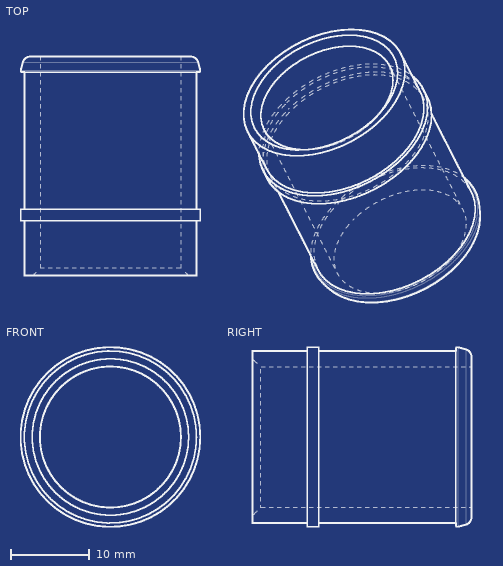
import cadquery as cq
import math

length = 28.0
body_radius = 11.0
bore_radius = 9.0
bore_chamfer = 1.0

rim_radius = 11.5
collar_start = 7.0
collar_width = 1.5

bead_length = 2.0
bead_start = length - bead_length
bead_taper = math.radians(15.0)
crest_fillet = 0.2
tip_fillet = 1.0


def make_tube():
    return cq.Workplane("XZ").circle(body_radius).extrude(-bead_start)


def make_collar():
    return (
        cq.Workplane("XZ", origin=(0, collar_start, 0))
        .circle(rim_radius)
        .extrude(-collar_width)
    )


def arc_point(center, radius, angle):
    """Point on an arc; the angle is measured from the radial (+X) direction toward +Y."""
    return (
        center[0] + radius * math.cos(angle),
        center[1] + radius * math.sin(angle),
    )


def make_bead():
    """Revolve the bead profile, drawn as (radius, Y), about the tube axis."""
    crest_center = (rim_radius - crest_fillet, bead_start + crest_fillet)
    crest_end = arc_point(crest_center, crest_fillet, bead_taper)

    tip_center_y = length - tip_fillet
    flank_end_y = tip_center_y + tip_fillet * math.sin(bead_taper)
    flank_end_radius = crest_end[0] - (flank_end_y - crest_end[1]) * math.tan(bead_taper)
    tip_center = (flank_end_radius - tip_fillet * math.cos(bead_taper), tip_center_y)

    crest_middle = (bead_taper - math.pi / 2) / 2
    tip_middle = (bead_taper + math.pi / 2) / 2
    profile = (
        cq.Workplane("XY")
        .moveTo(0, bead_start)
        .lineTo(crest_center[0], bead_start)
        .threePointArc(arc_point(crest_center, crest_fillet, crest_middle), crest_end)
        .lineTo(flank_end_radius, flank_end_y)
        .threePointArc(arc_point(tip_center, tip_fillet, tip_middle), (tip_center[0], length))
        .lineTo(0, length)
        .close()
    )
    return profile.revolve(360, (0, 0), (0, 1))


def make_bore():
    """Through bore, opened out by a chamfer at the plain end."""
    profile = (
        cq.Workplane("XY")
        .lineTo(bore_radius + bore_chamfer, 0)
        .lineTo(bore_radius, bore_chamfer)
        .lineTo(bore_radius, length)
        .lineTo(0, length)
        .close()
    )
    return profile.revolve(360, (0, 0), (0, 1))


result = make_tube().union(make_collar()).union(make_bead()).cut(make_bore())